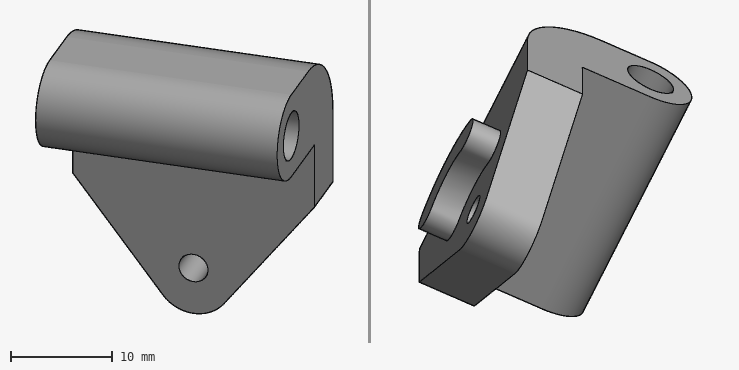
import cadquery as cq
import math

width = 25.0
height = 29.38
plate_thickness = 6.0
barrel_radius = 4.5
barrel_reach = 11.9
barrel_bore = 5.0
bend_radius = 8.0
shoulder_height = 13.55
tip_radius = 4.0
pivot_bore = 3.0
pivot_height = 5.0
guide_length = 3.0
guide_outer_radius = 9.4
guide_end_radius = 1.88
guide_half_angle = 36.0

barrel_y = barrel_radius - barrel_reach
barrel_z = height - barrel_radius


def make_bent_profile():
    """Plate with the barrel along its top edge, extruded across the full width."""
    bend_mid = bend_radius * math.sqrt(0.5)
    bend_y = plate_thickness - bend_radius
    bend_z = height - bend_radius
    return (
        cq.Workplane("YZ")
        .lineTo(plate_thickness, 0)
        .lineTo(plate_thickness, bend_z)
        .threePointArc((bend_y + bend_mid, bend_z + bend_mid), (bend_y, height))
        .lineTo(barrel_y, height)
        .threePointArc(
            (-barrel_reach, barrel_z),
            (barrel_y, height - 2 * barrel_radius),
        )
        .lineTo(0, height - 2 * barrel_radius)
        .close()
        .extrude(width / 2, both=True)
    )


def make_tapered_outline():
    """Front outline: straight sides, then a taper tangent to the rounded tip."""
    half_width = width / 2
    rise = shoulder_height - tip_radius
    corner_angle = math.atan2(rise, half_width)
    tangent_angle = corner_angle - math.acos(tip_radius / math.hypot(half_width, rise))
    tangent_x = tip_radius * math.cos(tangent_angle)
    tangent_z = tip_radius + tip_radius * math.sin(tangent_angle)
    depth = barrel_reach + plate_thickness
    return (
        cq.Workplane("XZ", origin=(0, plate_thickness, 0))
        .moveTo(-half_width, height)
        .lineTo(-half_width, shoulder_height)
        .lineTo(-tangent_x, tangent_z)
        .threePointArc((0, 0), (tangent_x, tangent_z))
        .lineTo(half_width, shoulder_height)
        .lineTo(half_width, height)
        .close()
        .extrude(depth)
    )


def make_guide():
    """Round-ended curved key on the back face, concentric with the pivot bore."""
    angle = math.radians(guide_half_angle)
    inner_radius = guide_outer_radius - 2 * guide_end_radius
    middle_radius = guide_outer_radius - guide_end_radius

    def end_point(radius, side):
        return side * radius * math.sin(angle), radius * math.cos(angle)

    def end_cap(side):
        x, z = end_point(middle_radius, side)
        return (
            x + side * guide_end_radius * math.cos(angle),
            z - guide_end_radius * math.sin(angle),
        )

    return (
        cq.Workplane("XZ", origin=(0, plate_thickness, pivot_height))
        .moveTo(*end_point(guide_outer_radius, -1))
        .threePointArc((0, guide_outer_radius), end_point(guide_outer_radius, 1))
        .threePointArc(end_cap(1), end_point(inner_radius, 1))
        .threePointArc((0, inner_radius), end_point(inner_radius, -1))
        .threePointArc(end_cap(-1), end_point(guide_outer_radius, -1))
        .close()
        .extrude(-guide_length)
    )


barrel_hole = (
    cq.Workplane("YZ")
    .center(barrel_y, barrel_z)
    .circle(barrel_bore / 2)
    .extrude(width / 2, both=True)
)
pivot_hole = (
    cq.Workplane("XZ", origin=(0, plate_thickness, pivot_height))
    .circle(pivot_bore / 2)
    .extrude(plate_thickness)
)

body = make_bent_profile().intersect(make_tapered_outline())
result = body.union(make_guide()).cut(barrel_hole).cut(pivot_hole)